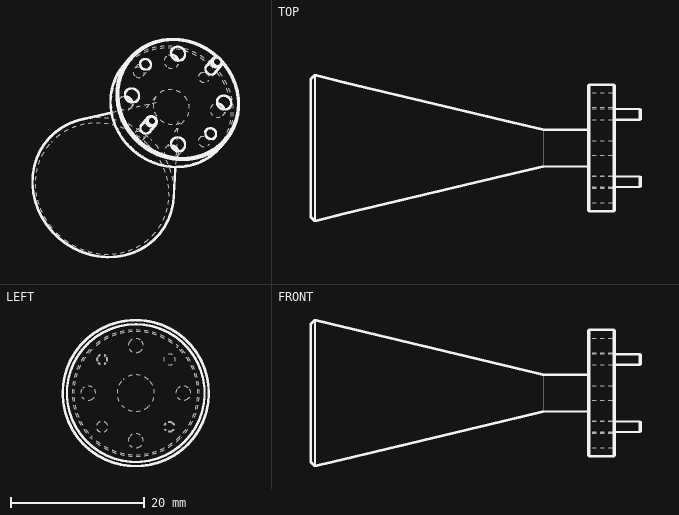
import cadquery as cq
import math

total_length = 49.6
pin_projection = 3.85
flange_thickness = 4.1
neck_length = 6.65
flange_back = total_length - pin_projection
flange_front = flange_back - flange_thickness
horn_length = flange_front - neck_length

mouth_radius = 21.95 / 2
mouth_chamfer = 0.65
neck_radius = 5.55 / 2

flange_radius = 19.05 / 2
flange_chamfer = 0.25

pitch_radius = 7.15
screw_hole_diameter = 2.2
screw_hole_angles = [0, 90, 180, 270]
pin_diameter = 1.65
pin_angles = [45, 225]
alignment_hole_diameter = 1.7
alignment_hole_angles = [135, 315]

pin_chamfer_length = 0.25
pin_chamfer_height = 0.15
pin_length = flange_thickness + pin_projection


def pitch_circle_point(angle):
    """Return the (Y, Z) place on the pitch circle, with the angle measured from +Y towards +Z."""
    radians = math.radians(angle)
    return (pitch_radius * math.cos(radians), pitch_radius * math.sin(radians))


def flange_rods(diameter, length, angles):
    """Cylinders along +X that start at the front of the flange, one at each pitch circle angle."""
    points = [pitch_circle_point(angle) for angle in angles]
    front_plane = cq.Workplane("YZ", origin=(flange_front, 0, 0))
    return front_plane.pushPoints(points).circle(diameter / 2).extrude(length)


def make_horn():
    """Solid horn, neck and flange turned about X, with the holes cut through the flange."""
    flange_edge_radius = flange_radius - flange_chamfer
    profile = [
        (0, 0),
        (0, mouth_radius - mouth_chamfer),
        (mouth_chamfer, mouth_radius),
        (horn_length, neck_radius),
        (flange_front, neck_radius),
        (flange_front, flange_edge_radius),
        (flange_front + flange_chamfer, flange_radius),
        (flange_back - flange_chamfer, flange_radius),
        (flange_back, flange_edge_radius),
        (flange_back, 0),
    ]
    horn = cq.Workplane("XZ").polyline(profile).close().revolve(360, (0, 0, 0), (1, 0, 0))

    horn = horn.cut(flange_rods(screw_hole_diameter, flange_thickness, screw_hole_angles))
    horn = horn.cut(flange_rods(alignment_hole_diameter, flange_thickness, alignment_hole_angles))
    horn = horn.cut(flange_rods(pin_diameter, flange_thickness, pin_angles))
    return horn


def make_pin(angle):
    """Dowel pin, flush with the front of the flange and chamfered at its free end."""
    pin = flange_rods(pin_diameter, pin_length, [angle])
    end_edge = pin.faces(">X").edges().val()
    solid = pin.val().chamfer(pin_chamfer_length, pin_chamfer_height, [end_edge])
    return cq.Workplane(solid)


horn = make_horn()
pins = [make_pin(angle) for angle in pin_angles]

result = cq.Compound.makeCompound([horn.val(), *[pin.val() for pin in pins]])